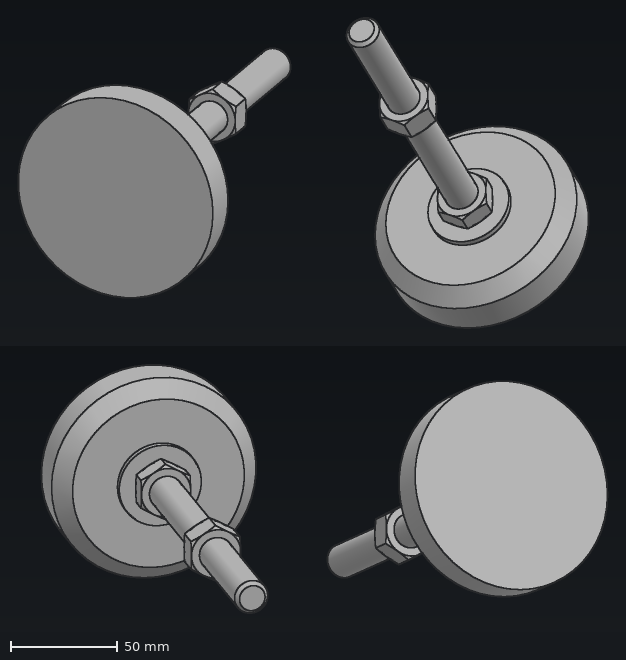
import cadquery as cq
import math

total_length = 189.0

pad_diameter = 100.0
pad_radius = pad_diameter / 2
pad_rim_height = 18.0
pad_height = 25.9
pad_top_radius = 42.0

collar_radius = 20.0
collar_height = 3.2

stud_radius = 8.1
stud_chamfer = 1.9

nut_sides = 6
nut_across_flats = 24.0
nut_chamfer_angle = 30.0
fixed_nut_height = 10.0
lock_nut_height = 13.0
lock_nut_start = 113.0

collar_top = pad_height + collar_height


def revolve_about_y(profile):
    """Revolve a closed (radius, Y) profile about the Y axis."""
    return cq.Workplane("XY").polyline(profile).close().revolve(360, (0, 0, 0), (0, 1, 0))


def hex_nut(start, height):
    """Hexagon nut with flats facing +/-X and its corners chamfered at both ends."""
    flat_radius = nut_across_flats / 2
    corner_radius = flat_radius / math.cos(math.pi / nut_sides)
    chamfer_height = (corner_radius - flat_radius) * math.tan(math.radians(nut_chamfer_angle))
    end = start + height

    prism = (
        cq.Workplane("XZ", origin=(0, start, 0))
        .transformed(rotate=(0, 0, 90))
        .polygon(nut_sides, 2 * corner_radius)
        .extrude(-height)
    )
    chamfer_envelope = revolve_about_y([
        (0, start),
        (flat_radius, start),
        (corner_radius, start + chamfer_height),
        (corner_radius, end - chamfer_height),
        (flat_radius, end),
        (0, end),
    ])
    return prism.intersect(chamfer_envelope)


turned_body = revolve_about_y([
    (0, 0),
    (pad_radius, 0),
    (pad_radius, pad_rim_height),
    (pad_top_radius, pad_height),
    (collar_radius, pad_height),
    (collar_radius, collar_top),
    (stud_radius, collar_top),
    (stud_radius, total_length - stud_chamfer),
    (stud_radius - stud_chamfer, total_length),
    (0, total_length),
])

fixed_nut = hex_nut(collar_top, fixed_nut_height)
lock_nut = hex_nut(lock_nut_start, lock_nut_height)

result = turned_body.union(fixed_nut).union(lock_nut)